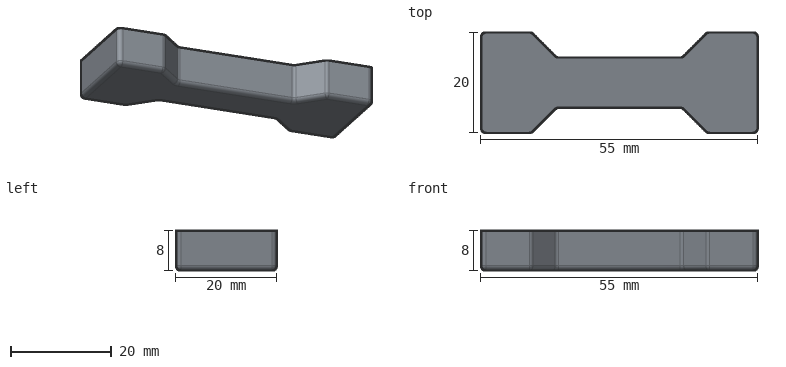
import cadquery as cq

length = 55.0
width = 20.0
height = 8.0
neck_width = 10.0
block_length = 10.0
edge_radius = 1.0

half_length = length / 2
half_width = width / 2
half_neck = neck_width / 2
shoulder_x = half_length - block_length
neck_x = shoulder_x - (half_width - half_neck)


def dumbbell_plate():
    """Plate with two wide ends joined by a narrow neck, square-edged."""
    quarter = [
        (half_length, half_width),
        (shoulder_x, half_width),
        (neck_x, half_neck),
    ]
    upper = quarter + [(-x, y) for x, y in reversed(quarter)]
    lower = [(x, -y) for x, y in reversed(upper)]
    return cq.Workplane("XY").polyline(upper + lower).close().extrude(height)


plate = dumbbell_plate().edges("|Z").fillet(edge_radius)
result = plate.faces("<Z").edges().fillet(edge_radius)